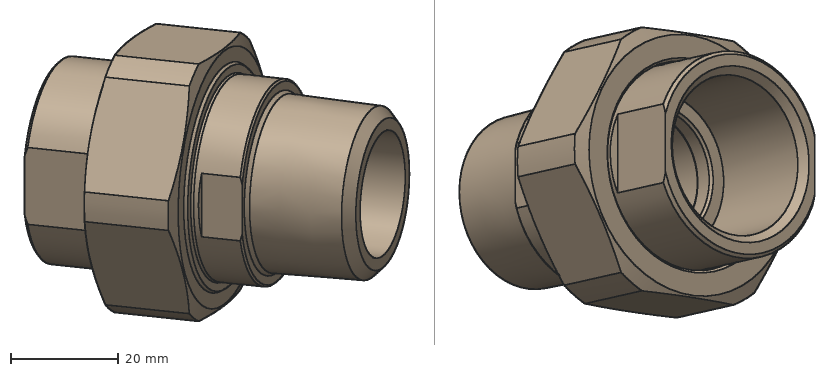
import cadquery as cq
import math

TOTAL_LENGTH = 64.5
COLLAR_R = 39.0 / 2
FLAT_WALL_ANGLE = 15.0
EDGE_CLEAR = 0.65

NUT_START = 14.4
NUT_END = 33.0
NUT_ACROSS_FLATS = 50.0
NUT_CORNER_R = 54.7 / 2
NUT_FACE_R = 49.3 / 2
NUT_CHAMFER = 0.95
NUT_LIP_END = 18.25
NUT_LIP_R = 39.5 / 2
NUT_LIP_CHAMFER = 0.5
NUT_BORE_R = 43.35 / 2

JOINT_X = 27.1
FEMALE_FLANGE_R = 43.0 / 2
FEMALE_CHAMFER = 0.65
SOCKET_R = 30.3 / 2
SOCKET_MOUTH_R = 33.3 / 2
SOCKET_DEPTH = 23.2
FEMALE_BORE_R = 24.2 / 2
BORE_CHAMFER = 0.5
FEMALE_FLAT_END = 14.0
FEMALE_ACROSS_FLATS = 36.05

MALE_FLANGE_R = NUT_BORE_R
MALE_FLANGE_END = 33.7
FLANGE_CHAMFER_LENGTH = 0.65
FLANGE_CHAMFER_HEIGHT = 0.4
ROOT_LENGTH = 0.5
ROOT_HEIGHT = 0.2
MALE_COLLAR_END = 43.5
MALE_CHAMFER = 0.4
NECK_LENGTH = 0.85
NECK_R = 34.8 / 2
TAPER_START_R = 33.7 / 2
TAPER_END_R = 32.75 / 2
TIP_CHAMFER = 2.05
MALE_BORE_R = 24.0 / 2
MALE_FLAT_START = 35.4
MALE_ACROSS_FLATS = 37.0


def revolve_x(points):
    """Revolve a closed (x, radius) outline about the X axis."""
    axis_start = (0, 0, 0)
    axis_end = (1, 0, 0)
    return cq.Workplane("XY").polyline(points).close().revolve(360, axis_start, axis_end)


def wrench_flats(flat_end, open_end, across_flats):
    """Two cutters, at -Y and +Y, leaving flats from open_end to a tilted wall at flat_end."""
    direction = math.copysign(1, flat_end - open_end)
    flat_y = across_flats / 2
    outer_y = COLLAR_R + EDGE_CLEAR
    wall_run = direction * (outer_y - flat_y) * math.tan(math.radians(FLAT_WALL_ANGLE))
    cutter = (
        cq.Workplane("XY")
        .polyline([
            (open_end, flat_y),
            (flat_end, flat_y),
            (flat_end + wall_run, outer_y),
            (open_end, outer_y),
        ])
        .close()
        .extrude(COLLAR_R, both=True)
    )
    return cutter.union(cutter.mirror("XZ"))


def make_nut():
    """Hexagon nut with rounded, chamfered corners and a lip that holds the female flange."""
    hexagon = (
        cq.Workplane("YZ", origin=(NUT_START, 0, 0))
        .polygon(6, NUT_ACROSS_FLATS / math.cos(math.pi / 6))
        .extrude(NUT_END - NUT_START)
    )
    turned_ring = revolve_x([
        (NUT_START, NUT_LIP_R + NUT_LIP_CHAMFER),
        (NUT_START, NUT_FACE_R),
        (NUT_START + NUT_CHAMFER, NUT_CORNER_R),
        (NUT_END - NUT_CHAMFER, NUT_CORNER_R),
        (NUT_END, NUT_FACE_R),
        (NUT_END, NUT_BORE_R),
        (NUT_LIP_END, NUT_BORE_R),
        (NUT_LIP_END, NUT_LIP_R),
        (NUT_START + NUT_LIP_CHAMFER, NUT_LIP_R),
    ])
    return hexagon.intersect(turned_ring)


def make_female_end():
    """Socket with wrench flats and the flange that the nut lip pulls on."""
    body = revolve_x([
        (0, SOCKET_MOUTH_R),
        (0, COLLAR_R - FEMALE_CHAMFER),
        (FEMALE_CHAMFER, COLLAR_R),
        (NUT_LIP_END, COLLAR_R),
        (NUT_LIP_END, FEMALE_FLANGE_R),
        (JOINT_X, FEMALE_FLANGE_R),
        (JOINT_X, FEMALE_BORE_R),
        (SOCKET_DEPTH + BORE_CHAMFER, FEMALE_BORE_R),
        (SOCKET_DEPTH, FEMALE_BORE_R + BORE_CHAMFER),
        (SOCKET_DEPTH, SOCKET_R),
        (SOCKET_MOUTH_R - SOCKET_R, SOCKET_R),
    ])
    return body.cut(wrench_flats(FEMALE_FLAT_END, -EDGE_CLEAR, FEMALE_ACROSS_FLATS))


def make_male_end():
    """Flange inside the nut, collar with wrench flats and a tapered spigot."""
    taper_end = TOTAL_LENGTH - TIP_CHAMFER
    body = revolve_x([
        (JOINT_X, MALE_BORE_R),
        (JOINT_X, MALE_FLANGE_R),
        (MALE_FLANGE_END - FLANGE_CHAMFER_LENGTH, MALE_FLANGE_R),
        (MALE_FLANGE_END, MALE_FLANGE_R - FLANGE_CHAMFER_HEIGHT),
        (MALE_FLANGE_END, COLLAR_R + ROOT_HEIGHT),
        (MALE_FLANGE_END + ROOT_LENGTH, COLLAR_R),
        (MALE_COLLAR_END - MALE_CHAMFER, COLLAR_R),
        (MALE_COLLAR_END, COLLAR_R - MALE_CHAMFER),
        (MALE_COLLAR_END, NECK_R),
        (MALE_COLLAR_END + NECK_LENGTH, TAPER_START_R),
        (taper_end, TAPER_END_R),
        (TOTAL_LENGTH, TAPER_END_R - TIP_CHAMFER),
        (TOTAL_LENGTH, MALE_BORE_R),
    ])
    flats = wrench_flats(MALE_FLAT_START, MALE_COLLAR_END, MALE_ACROSS_FLATS)
    return body.cut(flats)


nut = make_nut()
female_end = make_female_end()
male_end = make_male_end()

result = cq.Compound.makeCompound([nut.val(), female_end.val(), male_end.val()])